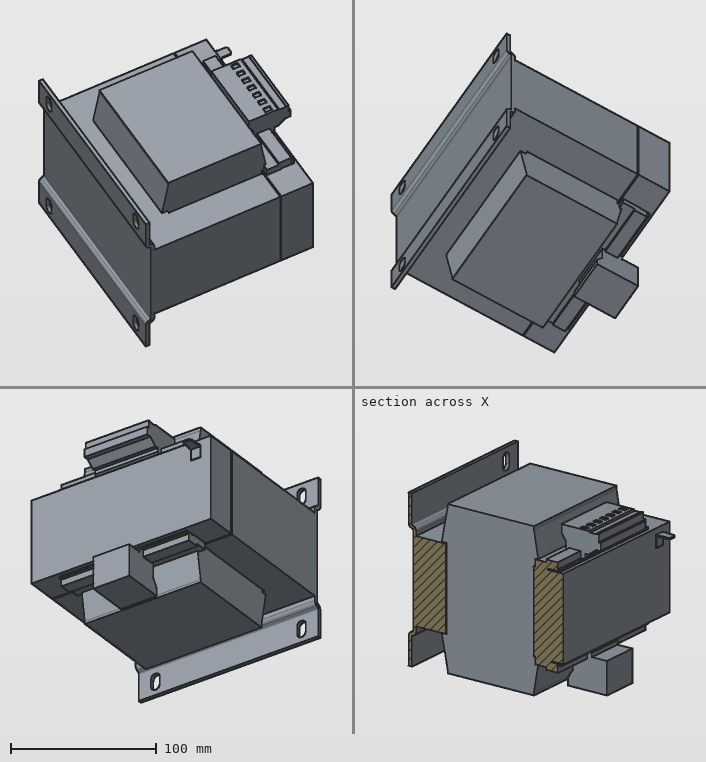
import cadquery as cq
import math


plate_width = 150.0
plate_height = 127.2
plate_thickness = 3.0
joggle_offset = 3.9
joggle_start = 36.8
joggle_angle = math.radians(60)
bend_inside = 0.8
bend_outside = bend_inside + plate_thickness
slot_length = 13.0
slot_width = 7.2
slot_spacing_x = 122.1
slot_spacing_z = 105.9

core_front = joggle_offset + plate_thickness
core_back = 131.4
core_height = 66.6
core_top = core_height / 2
window_width = 100.6
window_front = 32.0
window_back = 105.9
seam_width = 0.6
seam_depth = 0.6

coil_width = 96.8
coil_top = 62.1
coil_front = 32.5
coil_back = 105.6
coil_rim = 2.4
coil_taper_front = 5.0
coil_taper_back = 4.5

rail_width = 106.5
rail_front = 107.4
rail_step = 116.7
rail_riser = 126.6
rail_lip_end = 129.0
rail_gap = 0.6
rail_lip_top = core_top + 2.1
rail_low_top = 38.7
rail_high_top = 40.6
top_rail_gap_start = 118.4
bottom_rail_gap_start = 121.5

terminal_back = 143.2
terminal_front = 110.2
terminal_foot_back = 130.5

top_terminal_start = -30.0
top_terminal_count = 7
terminal_pitch = 7.5
top_block_height = 56.7
top_waist = 113.8
top_waist_end = 45.0
top_nose_start = 50.5
groove_front = 133.2
groove_ramp = 1.2
groove_back = 139.6
groove_floor = 55.8
ridge_back = 141.6
ridge_top = 56.2
ledge_top = 50.2
ledge_bottom = 44.1
underside_back = 139.4
underside_front = 133.2
foot_top = 39.5
foot_bevel_top = 36.5
port_width = 3.6
port_length = 5.0
port_center_y = 127.2
port_depth = 1.0

bottom_terminal_width = 30.0
bottom_terminal_end = -64.0
bottom_block_start = -38.7
bottom_waist = 114.5
bottom_waist_end = -51.5
bottom_nose_start = -57.8

tab_center_x = -62.5
tab_top = 28.5
tab_thickness = 1.2
tab_root_width = 7.8
tab_root_end = 135.0
tab_blade_width = 6.9
tab_end = 142.8
tab_corner = 1.2
tab_foot_bottom = 18.9
tab_foot_thickness = 0.6


def box(x_range, y_range, z_range):
    """Box spanning the given (low, high) pairs."""
    sizes = [high - low for low, high in (x_range, y_range, z_range)]
    corner = (x_range[0], y_range[0], z_range[0])
    return cq.Workplane("XY").box(*sizes, centered=False).translate(corner)


def extrude_along_x(outline, x_start, length):
    """Extrude a closed (Y, Z) outline towards +X from x_start."""
    return outline.extrude(length).translate((x_start, 0, 0))


def prism(points, x_start, length):
    """Straight-sided body with the (Y, Z) corner points as its cross-section."""
    return extrude_along_x(cq.Workplane("YZ").polyline(points).close(), x_start, length)


def mirrored(body):
    """The body together with its reflection below the mid-plane."""
    return body.union(body.mirror("XY"))


def mounting_plate():
    bend_sum = bend_inside + bend_outside
    ramp_depth = joggle_offset - bend_sum * (1 - math.cos(joggle_angle))
    joggle_rise = bend_sum * math.sin(joggle_angle) + ramp_depth / math.tan(joggle_angle)
    joggle_end = joggle_start + joggle_rise
    plate_top = plate_height / 2
    web_bend_y = joggle_offset - bend_inside
    flange_bend_y = plate_thickness + bend_inside

    def web_bend(radius, angle):
        return (web_bend_y + radius * math.cos(angle), joggle_start + radius * math.sin(angle))

    def flange_bend(radius, angle):
        return (flange_bend_y - radius * math.cos(angle), joggle_end - radius * math.sin(angle))

    half_angle = joggle_angle / 2
    upper_half = (
        cq.Workplane("YZ")
        .moveTo(joggle_offset, 0)
        .lineTo(*web_bend(bend_inside, 0))
        .threePointArc(web_bend(bend_inside, half_angle), web_bend(bend_inside, joggle_angle))
        .lineTo(*flange_bend(bend_outside, joggle_angle))
        .threePointArc(flange_bend(bend_outside, half_angle), flange_bend(bend_outside, 0))
        .lineTo(0, plate_top)
        .lineTo(plate_thickness, plate_top)
        .lineTo(*flange_bend(bend_inside, 0))
        .threePointArc(flange_bend(bend_inside, half_angle), flange_bend(bend_inside, joggle_angle))
        .lineTo(*web_bend(bend_outside, joggle_angle))
        .threePointArc(web_bend(bend_outside, half_angle), web_bend(bend_outside, 0))
        .lineTo(core_front, 0)
        .close()
    )
    plate = mirrored(extrude_along_x(upper_half, -plate_width / 2, plate_width))
    slots = (
        cq.Workplane("XZ")
        .rarray(slot_spacing_x, slot_spacing_z, 2, 2)
        .slot2D(slot_length, slot_width, 90)
        .extrude(-plate_thickness)
    )
    return plate.cut(slots)


def core():
    x_range = (-plate_width / 2, plate_width / 2)
    z_range = (-core_top, core_top)
    body = box(x_range, (core_front, core_back), z_range)

    seam_range = (window_back, window_back + seam_width)
    seam_core = box(
        (x_range[0] + seam_depth, x_range[1] - seam_depth),
        seam_range,
        (z_range[0] + seam_depth, z_range[1] - seam_depth),
    )
    body = body.cut(box(x_range, seam_range, z_range).cut(seam_core))

    window = box((-window_width / 2, window_width / 2), (window_front, window_back), z_range)
    return body.cut(window)


def coil():
    half_profile = [
        (window_front, 0),
        (window_front, core_top),
        (coil_front - coil_taper_front, core_top),
        (coil_front, coil_top - coil_rim),
        (coil_front, coil_top),
        (coil_back, coil_top),
        (coil_back, coil_top - coil_rim),
        (coil_back + coil_taper_back, core_top),
        (window_back, core_top),
        (window_back, 0),
    ]
    return mirrored(prism(half_profile, -coil_width / 2, coil_width))


def rail(gap_start):
    """Stepped rail on top of the core, with a thin gap under its rear lip."""
    profile = [
        (rail_front, core_top),
        (rail_front, rail_low_top),
        (rail_step, rail_low_top),
        (rail_step, rail_high_top),
        (rail_riser, rail_high_top),
        (rail_riser, rail_lip_top),
        (rail_lip_end, rail_lip_top),
        (rail_lip_end, core_top + rail_gap),
        (gap_start, core_top + rail_gap),
        (gap_start, core_top),
    ]
    return prism(profile, -rail_width / 2, rail_width)


def top_terminals():
    profile = [
        (top_waist, rail_low_top),
        (top_waist, top_waist_end),
        (terminal_front, top_nose_start),
        (terminal_front, top_block_height),
        (groove_front, top_block_height),
        (groove_front + groove_ramp, groove_floor),
        (groove_back, groove_floor),
        (groove_back, ridge_top),
        (ridge_back, ridge_top),
        (ridge_back, ledge_top),
        (terminal_back, ledge_top),
        (terminal_back, ledge_bottom),
        (underside_back, ledge_bottom),
        (underside_front, foot_top),
        (terminal_foot_back, foot_top),
        (terminal_foot_back, foot_bevel_top),
        (rail_lip_end, rail_lip_top),
        (rail_riser, rail_lip_top),
        (rail_riser, rail_low_top),
    ]
    row_length = top_terminal_count * terminal_pitch
    block = prism(profile, top_terminal_start, row_length)
    ports = (
        cq.Workplane("XY", origin=(top_terminal_start + row_length / 2, port_center_y, top_block_height))
        .rarray(terminal_pitch, 1.5, top_terminal_count, 1)
        .rect(port_width, port_length)
        .extrude(-port_depth)
    )
    return block.cut(ports)


def bottom_terminals():
    profile = [
        (bottom_waist, -rail_low_top),
        (bottom_waist, bottom_waist_end),
        (terminal_front, bottom_nose_start),
        (terminal_front, bottom_terminal_end),
        (terminal_back, bottom_terminal_end),
        (terminal_back, bottom_block_start),
        (terminal_foot_back, bottom_block_start),
        (terminal_foot_back, -rail_lip_top),
        (rail_riser, -rail_lip_top),
        (rail_riser, -rail_low_top),
    ]
    return prism(profile, -bottom_terminal_width / 2, bottom_terminal_width)


def earth_tab():
    def centered(width):
        return (tab_center_x - width / 2, tab_center_x + width / 2)

    blade_z = (tab_top - tab_thickness, tab_top)
    foot_y = (core_back, core_back + tab_foot_thickness)
    foot = box(centered(tab_root_width), foot_y, (tab_foot_bottom, tab_top))
    root = box(centered(tab_root_width), (core_back, tab_root_end), blade_z)
    blade = box(centered(tab_blade_width), (core_back, tab_end), blade_z)
    blade = blade.edges("|Z and >Y").chamfer(tab_corner)
    return foot.union(root).union(blade)


result = (
    core()
    .union(coil())
    .union(mounting_plate())
    .union(rail(top_rail_gap_start))
    .union(rail(bottom_rail_gap_start).mirror("XY"))
    .union(top_terminals())
    .union(bottom_terminals())
    .union(earth_tab())
)